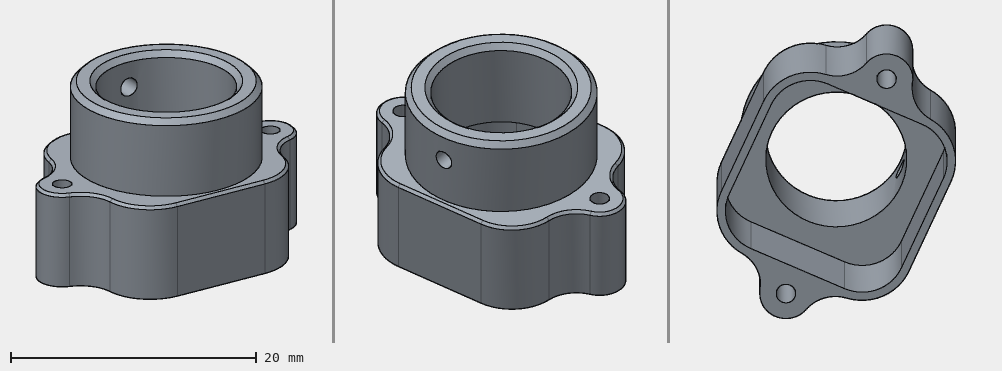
import cadquery as cq
import math

base_width = 16.7
base_length = 24.28
base_height = 8.23
base_chamfer = 0.25
corner_radius = 4.18
corner_center_x = base_width / 2 - corner_radius
corner_center_y = 4.2
ear_radius = 2.14
ear_center_y = base_length / 2 - ear_radius
blend_radius = 3.08

total_height = 15.0
collar_diameter = 15.6
bore_diameter = 11.45
rim_chamfer = 0.49

cavity_wall = 0.68
cavity_width = base_width - 2 * cavity_wall
cavity_corner_radius = corner_radius - cavity_wall
cavity_depth = 7.33

small_hole_diameter = 1.58
side_hole_height = 12.29


def point_from(start, end, distance):
    """Point at a given distance from start on the line towards end."""
    ratio = distance / math.dist(start, end)
    return tuple(a + (b - a) * ratio for a, b in zip(start, end))


def blend_center(corner, ear):
    """Center of the concave arc tangent to the corner and ear circles, on their outer side."""
    to_corner = corner_radius + blend_radius
    to_ear = ear_radius + blend_radius
    span = math.dist(corner, ear)
    along = (to_corner**2 - to_ear**2 + span**2) / (2 * span)
    across = math.sqrt(to_corner**2 - along**2)
    ux = (ear[0] - corner[0]) / span
    uy = (ear[1] - corner[1]) / span
    return corner[0] + ux * along + uy * across, corner[1] + uy * along - ux * across


def make_base():
    corner = (corner_center_x, corner_center_y)
    ear = (0, ear_center_y)
    blend = blend_center(corner, ear)
    side_end = (base_width / 2, corner_center_y)
    corner_end = point_from(corner, blend, corner_radius)
    ear_start = point_from(ear, blend, ear_radius)
    ear_tip = (0, base_length / 2)

    def arc_middle(center, radius, start, end):
        chord_middle = ((start[0] + end[0]) / 2, (start[1] + end[1]) / 2)
        return point_from(center, chord_middle, radius)

    quarter = (
        cq.Workplane("XY")
        .lineTo(base_width / 2, 0)
        .lineTo(*side_end)
        .threePointArc(arc_middle(corner, corner_radius, side_end, corner_end), corner_end)
        .threePointArc(arc_middle(blend, blend_radius, corner_end, ear_start), ear_start)
        .threePointArc(arc_middle(ear, ear_radius, ear_start, ear_tip), ear_tip)
        .close()
        .extrude(base_height)
    )
    half = quarter.union(quarter.mirror("YZ"))
    return half.union(half.mirror("XZ")).clean().faces(">Z").chamfer(base_chamfer)


def make_collar():
    return (
        cq.Workplane("XY")
        .circle(collar_diameter / 2)
        .extrude(total_height)
        .faces(">Z")
        .chamfer(rim_chamfer)
    )


def make_bore():
    bore = cq.Workplane("XY").circle(bore_diameter / 2).extrude(total_height)
    countersink = (
        cq.Workplane("XY", origin=(0, 0, total_height - rim_chamfer))
        .circle(bore_diameter / 2)
        .workplane(offset=rim_chamfer)
        .circle(bore_diameter / 2 + rim_chamfer)
        .loft(combine=True)
    )
    return bore.union(countersink)


def make_cavity():
    return (
        cq.Workplane("XY")
        .rect(cavity_width, cavity_width)
        .extrude(cavity_depth)
        .edges("|Z")
        .fillet(cavity_corner_radius)
    )


def make_ear_holes():
    return (
        cq.Workplane("XY")
        .pushPoints([(0, ear_center_y), (0, -ear_center_y)])
        .circle(small_hole_diameter / 2)
        .extrude(base_height)
    )


def make_side_hole():
    """Radial hole through the -X wall of the collar only."""
    return (
        cq.Workplane("YZ", origin=(0, 0, side_hole_height))
        .circle(small_hole_diameter / 2)
        .extrude(-collar_diameter / 2)
    )


result = (
    make_base()
    .union(make_collar())
    .cut(make_bore())
    .cut(make_cavity())
    .cut(make_ear_holes())
    .cut(make_side_hole())
)